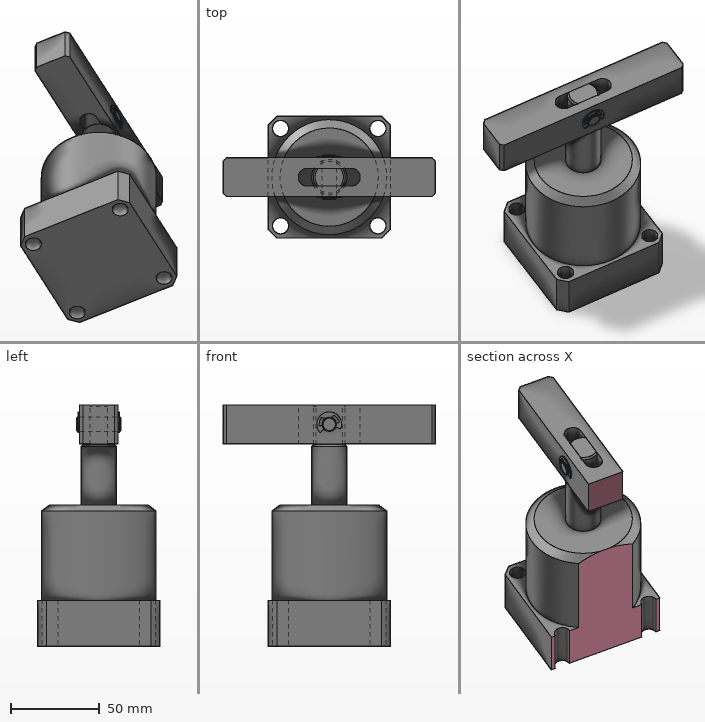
import cadquery as cq
import math

FLANGE_SIDE = 69.0
FLANGE_HEIGHT = 26.0
FLANGE_CORNER_CHAMFER = 5.0
BOLT_PITCH = 55.0
BOLT_HOLE_DIAMETER = 9.0
BARREL_DIAMETER = 65.0
HOUSING_HEIGHT = 80.0
BARREL_CHAMFER_WIDTH = 4.75
BARREL_CHAMFER_HEIGHT = 3.5

ARM_LENGTH = 120.0
ARM_WIDTH = 22.0
ARM_HEIGHT = 22.0
ARM_TOP = 136.5
ARM_CORNER_CHAMFER = 2.0
SLOT_LENGTH = 35.0
SLOT_WIDTH = 10.0
ARM_BOTTOM = ARM_TOP - ARM_HEIGHT

ROD_DIAMETER = 20.0
ROD_CHAMFER = 1.0
SHOULDER_GAP = 0.5
SHOULDER_Z = ARM_BOTTOM - SHOULDER_GAP
TONGUE_DIAMETER = ROD_DIAMETER - 2 * ROD_CHAMFER
TONGUE_TOP = ARM_TOP
TONGUE_CHAMFER = 1.0

PIN_DIAMETER = 8.0
PIN_LENGTH = 25.0
PIN_CHAMFER = 0.5
PIN_Z = ARM_BOTTOM + ARM_HEIGHT / 2

CLIP_DIAMETER = 14.0
CLIP_RELIEF_DIAMETER = 11.4
CLIP_THICKNESS = 0.6
GROOVE_DIAMETER = 7.0
CLIP_TURN = 10.0
CLIP_TIP_FILLET = 0.3
BACK_PRONG_INNER_ANGLE = 22.0
BACK_PRONG_OUTER_ANGLE = 36.0
SIDE_PRONG_START = 90.0
CLIP_END_ANGLE = 122.0


def make_housing():
    flange = (
        cq.Workplane("XY")
        .rect(FLANGE_SIDE, FLANGE_SIDE)
        .extrude(FLANGE_HEIGHT)
        .edges("|Z")
        .chamfer(FLANGE_CORNER_CHAMFER)
        .faces(">Z")
        .workplane()
        .rect(BOLT_PITCH, BOLT_PITCH, forConstruction=True)
        .vertices()
        .hole(BOLT_HOLE_DIAMETER)
    )
    barrel = (
        cq.Workplane("XY")
        .workplane(offset=FLANGE_HEIGHT)
        .circle(BARREL_DIAMETER / 2)
        .extrude(HOUSING_HEIGHT - FLANGE_HEIGHT)
        .faces(">Z")
        .chamfer(BARREL_CHAMFER_HEIGHT, BARREL_CHAMFER_WIDTH)
    )
    return flange.union(barrel)


def pin_bore(length):
    """Cylinder of the pin's diameter, centred on the pivot axis."""
    return (
        cq.Workplane("XZ")
        .center(0, PIN_Z)
        .circle(PIN_DIAMETER / 2)
        .extrude(length / 2, both=True)
    )


def make_rod():
    shank = (
        cq.Workplane("XY")
        .workplane(offset=HOUSING_HEIGHT)
        .circle(ROD_DIAMETER / 2)
        .extrude(SHOULDER_Z - HOUSING_HEIGHT)
        .faces(">Z")
        .chamfer(ROD_CHAMFER)
    )
    tongue_height = TONGUE_TOP - SHOULDER_Z
    tongue_flats = (
        cq.Workplane("XY")
        .workplane(offset=SHOULDER_Z)
        .rect(TONGUE_DIAMETER, SLOT_WIDTH)
        .extrude(tongue_height)
    )
    tongue = (
        cq.Workplane("XY")
        .workplane(offset=SHOULDER_Z)
        .circle(TONGUE_DIAMETER / 2)
        .extrude(tongue_height)
        .faces(">Z")
        .chamfer(TONGUE_CHAMFER)
        .intersect(tongue_flats)
    )
    return shank.union(tongue).cut(pin_bore(SLOT_WIDTH))


def make_arm():
    arm = (
        cq.Workplane("XY")
        .workplane(offset=ARM_BOTTOM)
        .rect(ARM_LENGTH, ARM_WIDTH)
        .extrude(ARM_HEIGHT)
        .edges("|Z")
        .chamfer(ARM_CORNER_CHAMFER)
        .faces(">Z")
        .workplane()
        .slot2D(SLOT_LENGTH, SLOT_WIDTH)
        .cutThruAll()
    )
    return arm.cut(pin_bore(ARM_WIDTH))


def clip_point(radius, angle):
    """Point on the clip, at an angle from the middle of its back."""
    direction = math.radians(90 + CLIP_TURN + angle)
    return (radius * math.cos(direction), radius * math.sin(direction))


def clip_blank(plane):
    """Sector with rounded tips, before its inner outline is cut."""
    radius = CLIP_DIAMETER / 2
    return (
        plane.moveTo(0, 0)
        .lineTo(*clip_point(radius, -CLIP_END_ANGLE))
        .threePointArc(clip_point(radius, 0), clip_point(radius, CLIP_END_ANGLE))
        .close()
        .extrude(CLIP_THICKNESS)
        .edges("|Y")
        .fillet(CLIP_TIP_FILLET)
    )


def clip_relief(plane, side):
    """Cutter for the opening between the back prong and one side prong."""
    radius = CLIP_RELIEF_DIAMETER / 2
    middle_angle = (BACK_PRONG_OUTER_ANGLE + SIDE_PRONG_START) / 2
    return (
        plane.moveTo(0, 0)
        .lineTo(*clip_point(GROOVE_DIAMETER / 2, side * BACK_PRONG_INNER_ANGLE))
        .lineTo(*clip_point(radius, side * BACK_PRONG_OUTER_ANGLE))
        .threePointArc(
            clip_point(radius, side * middle_angle),
            clip_point(radius, side * SIDE_PRONG_START),
        )
        .close()
        .extrude(CLIP_THICKNESS)
    )


def make_front_clip():
    plane = cq.Workplane("XZ", origin=(0, -ARM_WIDTH / 2, PIN_Z))
    clip = clip_blank(plane)
    for side in (-1, 1):
        clip = clip.cut(clip_relief(plane, side))
    return clip.cut(plane.circle(GROOVE_DIAMETER / 2).extrude(CLIP_THICKNESS))


def make_pin():
    pin = pin_bore(PIN_LENGTH).faces("<Y or >Y").chamfer(PIN_CHAMFER)
    groove = (
        cq.Workplane("XZ", origin=(0, -ARM_WIDTH / 2, PIN_Z))
        .circle(PIN_DIAMETER / 2)
        .circle(GROOVE_DIAMETER / 2)
        .extrude(CLIP_THICKNESS)
    )
    return pin.cut(groove).cut(groove.mirror("XZ"))


housing = make_housing()
rod = make_rod()
arm = make_arm()
pin = make_pin()
front_clip = make_front_clip()
back_clip = front_clip.mirror("XZ")

bodies = [housing, rod, arm, pin, front_clip, back_clip]
result = cq.Compound.makeCompound([body.val() for body in bodies])